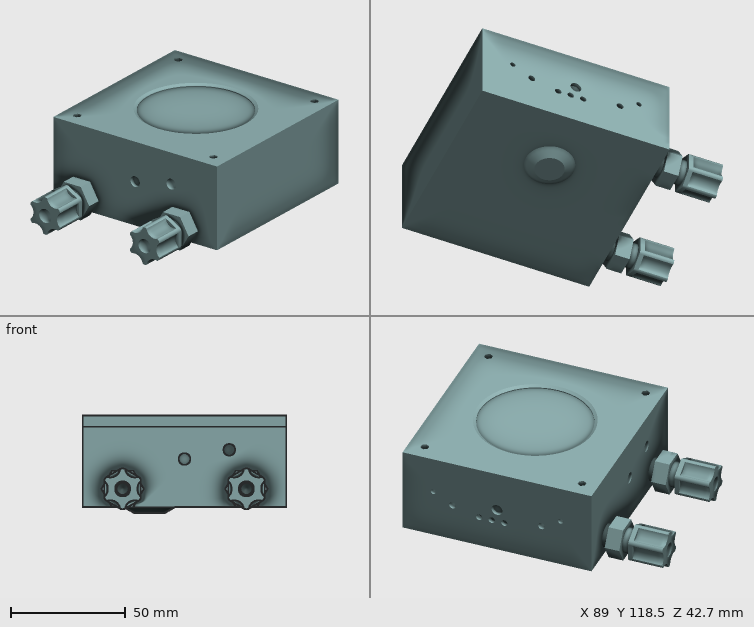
import cadquery as cq
import math

SIDE = 89.0
OVERALL_LENGTH = 118.5
HOUSING_HEIGHT = 35.1
LID_HEIGHT = 5.0

FOOT_X = -15.3
FOOT_TOP_RADIUS = 11.3
FOOT_BOTTOM_RADIUS = 6.6
FOOT_HEIGHT = 2.6

CORE_RADIUS = 42.7
CORE_FLOOR = 5.0

SIDE_PORT_GROUPS = [
    (5.1, 21.0, [0]),
    (3.2, 17.9, [-21.0, 21.0]),
    (3.0, 14.9, [-3.4, 2.5, 8.4]),
]

PILOT_DIAMETER = 2.5
PILOT_DEPTH = 10.0
PILOT_Y = 30.0
PILOT_Z = 22.9

FRONT_PORTS = [(0, 21.0), (19.5, 25.0)]
FRONT_PORT_DIAMETER = 5.1

DRILL_POINT_ANGLE = 118

WINDOW_RADIUS = 25.8
WINDOW_SINK = 1.3
BEVEL_WIDTH = 1.4
BEVEL_DEPTH = 0.8

SCREW_INSET = 7.5
SCREW_HEAD_RADIUS = 5.5
SCREW_SHANK_RADIUS = 3.0
SCREW_LENGTH = 14.9
SOCKET_ACROSS_FLATS = 3.4
SOCKET_DEPTH = 2.5

FITTING_X = 27.0
FITTING_Z = 7.9
HEX_ACROSS_FLATS = 16.0
INNER_NECK_RADIUS = 5.3
INNER_NECK_LENGTH = 2.8
HEX_LENGTH = 6.9
OUTER_NECK_RADIUS = 5.7
OUTER_NECK_LENGTH = 3.7
FITTING_LENGTH = OVERALL_LENGTH - SIDE
NUT_CORNER_RADIUS = 1.9
NUT_COLLAR_LENGTH = 2.1
NUT_GROOVE_RADIUS = 4.4
NUT_GROOVE_FLOOR = 6.4
BORE_RADIUS = 3.3
BORE_DEPTH = 16.1
INNER_BORE_RADIUS = 2.6
INNER_BORE_DEPTH = 23.7

HALF_SIDE = SIDE / 2
TOP = HOUSING_HEIGHT + LID_HEIGHT
HEX_SIDES = 6


def drill_point(radius):
    """Length of the pointed end that a drill of this radius leaves."""
    return radius / math.tan(math.radians(DRILL_POINT_ANGLE / 2))


def hexagon_diameter(across_flats):
    """Corner-to-corner size of a hexagon."""
    return across_flats / math.cos(math.pi / HEX_SIDES)


def revolved(profile):
    """Turn a profile of (radius, height) points about the Z axis."""
    return cq.Workplane("XZ").polyline(profile).close().revolve(360, (0, 0, 0), (0, 1, 0))


def foot():
    """Truncated cone that narrows downward."""
    return revolved([
        (0, 0),
        (FOOT_TOP_RADIUS, 0),
        (FOOT_BOTTOM_RADIUS, -FOOT_HEIGHT),
        (0, -FOOT_HEIGHT),
    ]).translate((FOOT_X, 0, 0))


def side_ports():
    """Cutters for the round ports from the -X face into the core bore."""
    cutters = []
    for diameter, height, y_positions in SIDE_PORT_GROUPS:
        for y in y_positions:
            start = cq.Vector(-HALF_SIDE, y, height)
            cutters.append(cq.Solid.makeCylinder(diameter / 2, HALF_SIDE, start, cq.Vector(1, 0, 0)))
    return cutters


def pilot_holes():
    """Cutters for the two pointed pilot holes in the -X face."""
    radius = PILOT_DIAMETER / 2
    cutter = revolved([
        (0, 0),
        (radius, 0),
        (radius, PILOT_DEPTH),
        (0, PILOT_DEPTH + drill_point(radius)),
    ]).rotate((0, 0, 0), (0, 1, 0), 90)
    return [cutter.translate((-HALF_SIDE, y, PILOT_Z)).val() for y in (-PILOT_Y, PILOT_Y)]


def front_ports():
    """Cutters for the round ports from the -Y face into the core bore."""
    return [
        cq.Solid.makeCylinder(
            FRONT_PORT_DIAMETER / 2, HALF_SIDE, cq.Vector(x, -HALF_SIDE, z), cq.Vector(0, 1, 0)
        )
        for x, z in FRONT_PORTS
    ]


def screw_blank():
    """Countersunk screw without its socket; the head tapers to the shank at 45 degrees."""
    head_height = SCREW_HEAD_RADIUS - SCREW_SHANK_RADIUS
    return revolved([
        (0, 0),
        (SCREW_HEAD_RADIUS, 0),
        (SCREW_SHANK_RADIUS, -head_height),
        (SCREW_SHANK_RADIUS, -SCREW_LENGTH),
        (0, -SCREW_LENGTH),
    ])


def at_screw_places(shape):
    """One copy of a shape at each corner of the lid."""
    reach = HALF_SIDE - SCREW_INSET
    return [shape.translate((x, y, TOP)).val() for x in (-reach, reach) for y in (-reach, reach)]


def make_screws():
    """Four screws with hexagonal sockets, flush with the lid."""
    socket = (
        cq.Workplane("XY")
        .polygon(HEX_SIDES, hexagon_diameter(SOCKET_ACROSS_FLATS))
        .extrude(-SOCKET_DEPTH)
    )
    return at_screw_places(screw_blank().cut(socket))


def core_drum():
    """Plain cylinder that fills the bore of the housing."""
    height = HOUSING_HEIGHT - CORE_FLOOR
    return cq.Workplane("XY", origin=(0, 0, CORE_FLOOR)).circle(CORE_RADIUS).extrude(height)


def make_core():
    """Drum with a smaller raised disc that forms the window face."""
    window_height = LID_HEIGHT - WINDOW_SINK
    window = cq.Workplane("XY", origin=(0, 0, HOUSING_HEIGHT)).circle(WINDOW_RADIUS).extrude(window_height)
    return core_drum().union(window)


def make_lid():
    """Square cover plate with a bevelled round opening and countersunk screw holes."""
    opening = revolved([
        (0, 0),
        (WINDOW_RADIUS + BEVEL_WIDTH, 0),
        (WINDOW_RADIUS, -BEVEL_DEPTH),
        (WINDOW_RADIUS, -LID_HEIGHT),
        (0, -LID_HEIGHT),
    ]).translate((0, 0, TOP))
    lid = cq.Workplane("XY", origin=(0, 0, HOUSING_HEIGHT)).rect(SIDE, SIDE).extrude(LID_HEIGHT).cut(opening)
    for screw_hole in at_screw_places(screw_blank()):
        lid = lid.cut(cq.Workplane(screw_hole))
    return lid


def make_housing():
    """Block with its foot, core bore, ports, pilot holes and screw holes."""
    block = cq.Workplane("XY").rect(SIDE, SIDE).extrude(HOUSING_HEIGHT).union(foot())
    housing = block.cut(core_drum())
    for cutter in side_ports() + front_ports() + pilot_holes() + at_screw_places(screw_blank()):
        housing = housing.cut(cq.Workplane(cutter))
    return housing


def clamping_nut(start):
    """Rounded hexagonal nut from a given height to the outer end, grooved beyond its collar."""
    length = FITTING_LENGTH - start
    nut = (
        cq.Workplane("XY", origin=(0, 0, start))
        .polygon(HEX_SIDES, hexagon_diameter(HEX_ACROSS_FLATS))
        .extrude(length)
        .edges("|Z")
        .fillet(NUT_CORNER_RADIUS)
        .rotate((0, 0, 0), (0, 0, 1), 180 / HEX_SIDES)
    )
    grooves = (
        cq.Workplane("XY", origin=(0, 0, start + NUT_COLLAR_LENGTH))
        .polarArray(NUT_GROOVE_FLOOR + NUT_GROOVE_RADIUS, 0, 360, HEX_SIDES)
        .circle(NUT_GROOVE_RADIUS)
        .extrude(length - NUT_COLLAR_LENGTH)
    )
    return nut.cut(grooves)


def stepped_bore():
    """Blind bore from the outer end that narrows once and ends in a drill point."""
    step_end = FITTING_LENGTH - BORE_DEPTH - drill_point(BORE_RADIUS) + drill_point(INNER_BORE_RADIUS)
    inner_end = FITTING_LENGTH - INNER_BORE_DEPTH
    return revolved([
        (0, FITTING_LENGTH),
        (BORE_RADIUS, FITTING_LENGTH),
        (BORE_RADIUS, FITTING_LENGTH - BORE_DEPTH),
        (INNER_BORE_RADIUS, step_end),
        (INNER_BORE_RADIUS, inner_end),
        (0, inner_end - drill_point(INNER_BORE_RADIUS)),
    ])


def make_fittings():
    """Hose fittings, modelled upward along Z and then turned to point along -Y."""
    hex_end = INNER_NECK_LENGTH + HEX_LENGTH
    nut_start = hex_end + OUTER_NECK_LENGTH
    inner_neck = cq.Workplane("XY").circle(INNER_NECK_RADIUS).extrude(INNER_NECK_LENGTH)
    hexagon = (
        cq.Workplane("XY", origin=(0, 0, INNER_NECK_LENGTH))
        .polygon(HEX_SIDES, hexagon_diameter(HEX_ACROSS_FLATS))
        .extrude(HEX_LENGTH)
    )
    outer_neck = cq.Workplane("XY", origin=(0, 0, hex_end)).circle(OUTER_NECK_RADIUS).extrude(OUTER_NECK_LENGTH)
    fitting = inner_neck.union(hexagon).union(outer_neck).union(clamping_nut(nut_start)).cut(stepped_bore())
    fitting = fitting.rotate((0, 0, 0), (1, 0, 0), 90)
    return [fitting.translate((x, -HALF_SIDE, FITTING_Z)).val() for x in (-FITTING_X, FITTING_X)]


housing = make_housing()
lid = make_lid()
core = make_core()
screws = make_screws()
fittings = make_fittings()

result = cq.Compound.makeCompound([housing.val(), lid.val(), core.val(), *screws, *fittings])